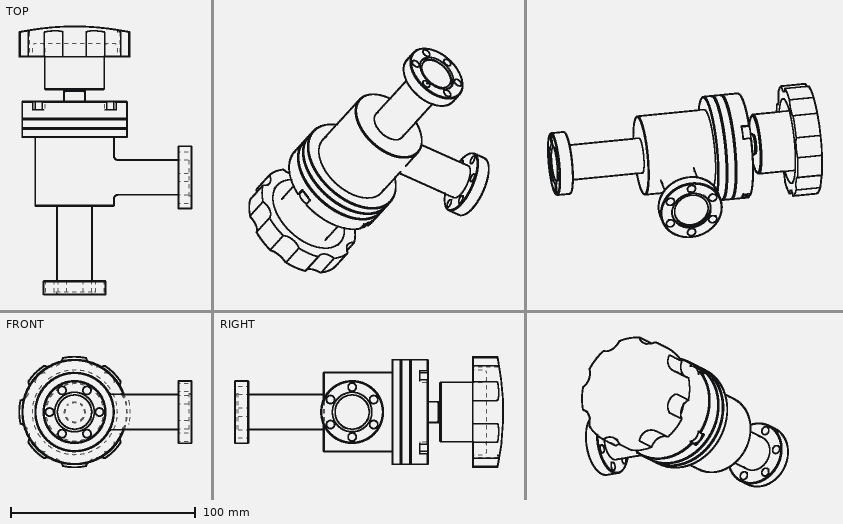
import cadquery as cq
import math


PORT_REACH = 63.5
TUBE_RADIUS = 9.5
PORT_FLANGE_RADIUS = 16.9
PORT_FLANGE_THICKNESS = 7.5
BOLT_COUNT = 6
BOLT_CIRCLE_RADIUS = 13.5
BOLT_HOLE_DIAMETER = 4.4
SIDE_BOLT_TURN = 30
RECESS_RADIUS = 10.7
KNIFE_EDGE_RADIUS = 9.25
KNIFE_EDGE_DEPTH = 0.6
RECESS_DEPTH = 1.6

BODY_RADIUS = 21.4
BODY_BOTTOM = -15.5
WELD_RADIUS = 2.0

DISC_RADIUS = 28.4
DISC_LEVELS = (21.6, 26.5, 31.5, 41.1)
EDGE_CHAMFER = 0.4
NOTCH_COUNT = 4
NOTCH_WIDTH = 7.2
NOTCH_HEIGHT = 4.4
NOTCH_FLOOR_RADIUS = 5.0
NOTCH_CREST_RADIUS = 28.0

STEM_RADIUS = 5.7
STEM_TOP = 46.5
NECK_RADIUS = 5.2
HUB_RADIUS = 16.2
HUB_BOTTOM = 47.4
HUB_CHAMFER = 0.7

WHEEL_RADIUS = 29.965
WHEEL_BOTTOM = 65.3
WHEEL_TOP = 81.9
DOME_RISE = 3.2
RIM_FILLET = 0.8
WHEEL_RECESS_RADIUS = 23.0
WHEEL_RECESS_TOP = 72.7
WHEEL_RECESS_FILLET = 2.0
HUB_ROOT_FILLET = 2.0
LOBE_COUNT = 8
LOBE_HALF_ANGLE = math.radians(12.0)
SCALLOP_FLOOR_RADIUS = 27.0

ALONG_MAIN_AXIS = (0, 1, 0)


def disc(radius, bottom, top):
    """Cylinder about the Y axis between two Y levels."""
    return cq.Workplane("XZ", origin=(0, bottom, 0)).circle(radius).extrude(bottom - top)


def chamfered_disc(radius, bottom, top):
    return disc(radius, bottom, top).edges().chamfer(EDGE_CHAMFER)


def port_flange(bolt_turn):
    """Flange about the Y axis with its sealing face at -PORT_REACH and its bolts turned in degrees."""
    back = PORT_FLANGE_THICKNESS - PORT_REACH
    flange = chamfered_disc(PORT_FLANGE_RADIUS, -PORT_REACH, back)
    holes = (
        cq.Workplane("XZ", origin=(0, back, 0))
        .polarArray(BOLT_CIRCLE_RADIUS, bolt_turn, 360, BOLT_COUNT)
        .circle(BOLT_HOLE_DIAMETER / 2)
        .extrude(PORT_FLANGE_THICKNESS)
    )
    recess = (
        cq.Workplane("XY")
        .moveTo(0, -PORT_REACH)
        .lineTo(RECESS_RADIUS, -PORT_REACH)
        .lineTo(RECESS_RADIUS, RECESS_DEPTH - PORT_REACH)
        .lineTo(KNIFE_EDGE_RADIUS, KNIFE_EDGE_DEPTH - PORT_REACH)
        .lineTo(0, KNIFE_EDGE_DEPTH - PORT_REACH)
        .close()
        .revolve(360, (0, 0, 0), ALONG_MAIN_AXIS)
    )
    return flange.cut(holes).cut(recess)


def body_with_tubes():
    body = disc(BODY_RADIUS, BODY_BOTTOM, DISC_LEVELS[0]).faces("<Y").chamfer(EDGE_CHAMFER)
    tube_end = PORT_REACH - PORT_FLANGE_THICKNESS
    side_tube = cq.Workplane("YZ").circle(TUBE_RADIUS).extrude(tube_end)
    joined = body.union(side_tube)
    joint_box = cq.selectors.BoxSelector(
        (BODY_RADIUS - TUBE_RADIUS, -TUBE_RADIUS, -TUBE_RADIUS),
        (BODY_RADIUS + WELD_RADIUS, TUBE_RADIUS, TUBE_RADIUS),
    )
    joined = joined.edges(joint_box).fillet(WELD_RADIUS)
    return joined.union(disc(TUBE_RADIUS, -tube_end, BODY_BOTTOM))


def bonnet():
    discs = cq.Workplane("XY")
    for bottom, top in zip(DISC_LEVELS, DISC_LEVELS[1:]):
        discs = discs.union(chamfered_disc(DISC_RADIUS, bottom, top))
    floor_axis = NOTCH_CREST_RADIUS - NOTCH_FLOOR_RADIUS
    notch_bottom = DISC_LEVELS[-1] - NOTCH_HEIGHT
    notch = (
        cq.Workplane("XZ", origin=(0, notch_bottom, 0))
        .center((floor_axis + DISC_RADIUS) / 2, 0)
        .rect(DISC_RADIUS - floor_axis, NOTCH_WIDTH)
        .extrude(-NOTCH_HEIGHT)
        .cut(disc(NOTCH_FLOOR_RADIUS, notch_bottom, DISC_LEVELS[-1]).translate((floor_axis, 0, 0)))
    )
    for index in range(NOTCH_COUNT):
        angle = (index + 0.5) * 360 / NOTCH_COUNT
        discs = discs.cut(notch.rotate((0, 0, 0), ALONG_MAIN_AXIS, angle))
    return discs


def stem_and_hub():
    stem = disc(STEM_RADIUS, DISC_LEVELS[-1], STEM_TOP)
    neck = disc(NECK_RADIUS, STEM_TOP, HUB_BOTTOM)
    hub = disc(HUB_RADIUS, HUB_BOTTOM, WHEEL_BOTTOM).faces("<Y").chamfer(HUB_CHAMFER)
    return stem.union(neck).union(hub)


def wheel_scallop():
    """Cutter for the hollow between two lobes, centred on the +X side."""
    half_gap = math.pi / LOBE_COUNT - LOBE_HALF_ANGLE
    lip_x = WHEEL_RADIUS * math.cos(half_gap)
    lip_z = WHEEL_RADIUS * math.sin(half_gap)
    return (
        cq.Workplane("ZX", origin=(0, WHEEL_BOTTOM, 0))
        .moveTo(lip_z, lip_x)
        .threePointArc((0, SCALLOP_FLOOR_RADIUS), (-lip_z, lip_x))
        .lineTo(-lip_z, WHEEL_RADIUS)
        .lineTo(lip_z, WHEEL_RADIUS)
        .close()
        .extrude(WHEEL_TOP - WHEEL_BOTTOM)
    )


def hand_wheel():
    dome_radius = (WHEEL_RADIUS**2 + DOME_RISE**2) / (2 * DOME_RISE)
    dome = cq.Workplane("XY").sphere(dome_radius).translate((0, WHEEL_TOP - dome_radius, 0))
    wheel = disc(WHEEL_RADIUS, WHEEL_BOTTOM, WHEEL_TOP).intersect(dome)
    wheel = wheel.edges(">Y").edges("%CIRCLE").fillet(RIM_FILLET)
    recess = disc(WHEEL_RECESS_RADIUS, WHEEL_BOTTOM, WHEEL_RECESS_TOP)
    recess = recess.faces(">Y").edges().fillet(WHEEL_RECESS_FILLET)
    hub_end = disc(HUB_RADIUS, WHEEL_BOTTOM, WHEEL_RECESS_TOP)
    wheel = wheel.cut(recess.cut(hub_end))
    reach = HUB_ROOT_FILLET
    root_box = cq.selectors.BoxSelector(
        (-HUB_RADIUS - reach, WHEEL_RECESS_TOP - reach, -HUB_RADIUS - reach),
        (HUB_RADIUS + reach, WHEEL_RECESS_TOP + reach, HUB_RADIUS + reach),
        boundingbox=True,
    )
    wheel = wheel.edges(root_box).fillet(HUB_ROOT_FILLET)
    scallop = wheel_scallop()
    for index in range(LOBE_COUNT):
        angle = (index + 0.5) * 360 / LOBE_COUNT
        wheel = wheel.cut(scallop.rotate((0, 0, 0), ALONG_MAIN_AXIS, angle))
    return wheel


end_flange = port_flange(0)
side_flange = port_flange(SIDE_BOLT_TURN).rotate((0, 0, 0), (0, 0, 1), 90)

result = (
    body_with_tubes()
    .union(end_flange)
    .union(side_flange)
    .union(bonnet())
    .union(stem_and_hub())
    .union(hand_wheel())
)